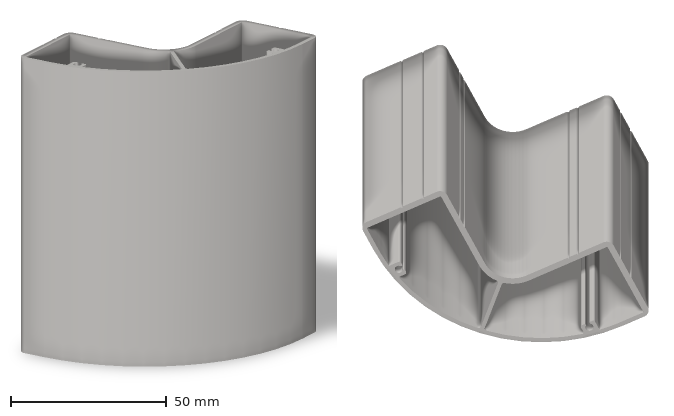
import cadquery as cq
import math

SIDE = 70.0
LENGTH = 100.0

ARM_WIDTH = 30.0
END_WALL = 2.0
INNER_WALL = 2.0
CURVED_WALL = 1.5
CORNER_RADIUS = 2.5
BEND_RADIUS = 10.0
SWEEP_RADIUS = 60.0
CAVITY_CORNER_RADIUS = 0.3

RIB_THICKNESS = 1.3
RIB_FILLET = 0.8

PORT_CENTRE = 20.0
PORT_WIDTH = 5.0
PORT_TOP = 5.9
PORT_TIP_RADIUS = 0.7
PORT_ROOT_FILLET = 0.5
PORT_BORE_RADIUS = 1.3
PORT_BORE_HEIGHT = 4.2
PORT_GAP = 1.5

GROOVE_WIDTH = 1.0
GROOVE_DEPTH = 0.4
END_GROOVES = (15.0, 22.5)
INNER_GROOVES = (11.7, 15.0)

FAR = SIDE - ARM_WIDTH
SWEEP_CENTRE = (SIDE - SWEEP_RADIUS, SWEEP_RADIUS)
BEND_CENTRE = (FAR - BEND_RADIUS, ARM_WIDTH + BEND_RADIUS)
DIAGONAL = math.sqrt(0.5)


def on_diagonal(centre, radius):
    """Point of a circle in the +X -Y direction, on the part's symmetry line."""
    return (centre[0] + radius * DIAGONAL, centre[1] - radius * DIAGONAL)


def elbow(end, inner, curved):
    """Solid elbow, inset from the end, inner and curved faces."""
    sweep_radius = SWEEP_RADIUS - curved
    bend_radius = BEND_RADIUS + inner
    return (
        cq.Workplane("XY")
        .moveTo(end, curved)
        .lineTo(SWEEP_CENTRE[0], curved)
        .threePointArc(on_diagonal(SWEEP_CENTRE, sweep_radius), (SIDE - curved, SWEEP_CENTRE[1]))
        .lineTo(SIDE - curved, SIDE - end)
        .lineTo(FAR + inner, SIDE - end)
        .lineTo(FAR + inner, BEND_CENTRE[1])
        .threePointArc(on_diagonal(BEND_CENTRE, bend_radius), (BEND_CENTRE[0], ARM_WIDTH - inner))
        .lineTo(end, ARM_WIDTH - inner)
        .close()
        .extrude(LENGTH)
    )


def edges_at(body, points):
    """Select the vertical edges that pass through the given XY points."""
    reach = 0.1
    selector = None
    for x, y in points:
        box = cq.selectors.BoxSelector(
            (x - reach, y - reach, 0), (x + reach, y + reach, LENGTH)
        )
        selector = box if selector is None else selector + box
    return body.edges("|Z").edges(selector)


def end_corners(end, inner, curved):
    """The four corners at the two arm ends."""
    return [
        (end, curved),
        (end, ARM_WIDTH - inner),
        (FAR + inner, SIDE - end),
        (SIDE - curved, SIDE - end),
    ]


def mirrored(body):
    """Reflect across the symmetry line, so (x, y) becomes (SIDE - y, SIDE - x)."""
    return body.mirror(cq.Vector(DIAGONAL, DIAGONAL, 0), (SIDE / 2, SIDE / 2, 0))


def make_cavity():
    """Hollow space, split in two by the rib."""
    insets = (END_WALL, INNER_WALL, CURVED_WALL)
    cavity = edges_at(elbow(*insets), end_corners(*insets)).fillet(CAVITY_CORNER_RADIUS)
    rib = (
        cq.Workplane("XY")
        .rect(2 * SIDE, RIB_THICKNESS)
        .extrude(LENGTH)
        .rotate((0, 0, 0), (0, 0, 1), -45)
        .translate((*SWEEP_CENTRE, 0))
    )
    cavity = cavity.cut(rib)
    half = RIB_THICKNESS / 2
    corners = []
    rib_ends = (
        (BEND_CENTRE, BEND_RADIUS + INNER_WALL),
        (SWEEP_CENTRE, SWEEP_RADIUS - CURVED_WALL),
    )
    for centre, radius in rib_ends:
        along = math.sqrt(radius**2 - half**2)
        for side in (-half, half):
            corners.append((
                centre[0] + (along + side) * DIAGONAL,
                centre[1] + (side - along) * DIAGONAL,
            ))
    return edges_at(cavity, corners).fillet(RIB_FILLET)


def make_port():
    """Screw port standing on the curved wall, without its bore."""
    block = (
        cq.Workplane("XY")
        .center(PORT_CENTRE, PORT_TOP / 2)
        .rect(PORT_WIDTH, PORT_TOP)
        .extrude(LENGTH)
        .edges("|Z and >Y")
        .fillet(PORT_TIP_RADIUS)
    )
    return block.intersect(elbow(0, 0, 0))


def make_port_bore():
    """Round screw bore that opens through a narrower gap."""
    bore = cq.Workplane("XY").center(PORT_CENTRE, PORT_BORE_HEIGHT).circle(PORT_BORE_RADIUS).extrude(LENGTH)
    gap = (
        cq.Workplane("XY")
        .center(PORT_CENTRE, PORT_BORE_HEIGHT + PORT_TOP / 2)
        .rect(PORT_GAP, PORT_TOP)
        .extrude(LENGTH)
    )
    return bore.union(gap)


def end_groove(y):
    """V groove in the end face of the -X arm."""
    half = GROOVE_WIDTH / 2
    return (
        cq.Workplane("XY")
        .polyline([(0, y - half), (GROOVE_DEPTH, y), (0, y + half)])
        .close()
        .extrude(LENGTH)
    )


def inner_groove(x):
    """V groove in the inner face of the -X arm."""
    half = GROOVE_WIDTH / 2
    return (
        cq.Workplane("XY")
        .polyline([(x - half, ARM_WIDTH), (x, ARM_WIDTH - GROOVE_DEPTH), (x + half, ARM_WIDTH)])
        .close()
        .extrude(LENGTH)
    )


outer = edges_at(elbow(0, 0, 0), end_corners(0, 0, 0)).fillet(CORNER_RADIUS)
profile = outer.cut(make_cavity())

port = make_port()
profile = profile.union(port).union(mirrored(port))

root_x = PORT_CENTRE + PORT_WIDTH / 2
root_rise = math.sqrt((SWEEP_RADIUS - CURVED_WALL) ** 2 - (root_x - SWEEP_CENTRE[0]) ** 2)
root_y = SWEEP_CENTRE[1] - root_rise
roots = [(root_x, root_y), (SIDE - root_y, SIDE - root_x)]
profile = edges_at(profile, roots).fillet(PORT_ROOT_FILLET)

cutters = [make_port_bore()]
cutters += [end_groove(y) for y in END_GROOVES]
cutters += [inner_groove(x) for x in INNER_GROOVES]
for cutter in cutters:
    profile = profile.cut(cutter).cut(mirrored(cutter))

result = profile